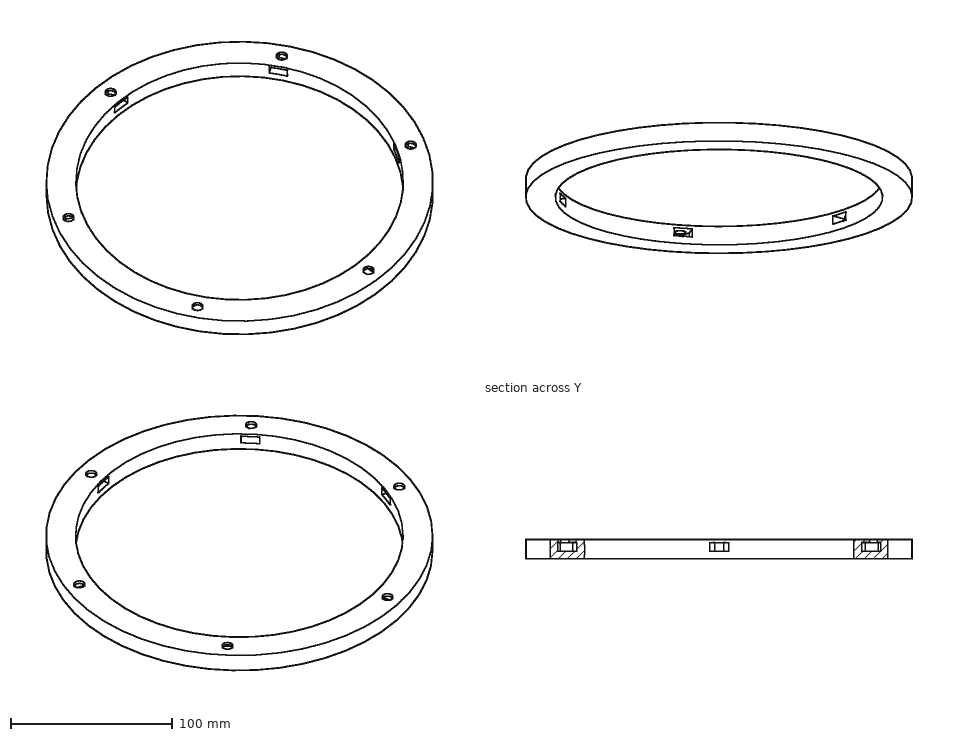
import cadquery as cq
import math

OUTER_DIAMETER = 240.0
INNER_DIAMETER = 203.2
THICKNESS = 12.0

HOLE_COUNT = 6
HOLE_DIAMETER = 6.72
FIRST_HOLE_ANGLE = 30.0
BOLT_CIRCLE_RADIUS = 110.65

NUT_ACROSS_FLATS = 10.05
NUT_ACROSS_CORNERS = NUT_ACROSS_FLATS / math.cos(math.radians(30))
SLOT_FLOOR = 4.8
SLOT_HEIGHT = 5.2
SLOT_START_RADIUS = INNER_DIAMETER / 2 - NUT_ACROSS_FLATS / 2


def make_ring():
    """Flat ring resting on Z = 0."""
    return (
        cq.Workplane("XY")
        .circle(OUTER_DIAMETER / 2)
        .circle(INNER_DIAMETER / 2)
        .extrude(THICKNESS)
    )


def make_nut_slot():
    """Slot along +X, as wide as the nut corners; its end wraps the outer half of the hexagon nut."""
    half_width = NUT_ACROSS_CORNERS / 2
    half_flat = NUT_ACROSS_CORNERS / 4
    end_radius = BOLT_CIRCLE_RADIUS + NUT_ACROSS_FLATS / 2
    outline = [
        (SLOT_START_RADIUS, -half_width),
        (BOLT_CIRCLE_RADIUS, -half_width),
        (end_radius, -half_flat),
        (end_radius, half_flat),
        (BOLT_CIRCLE_RADIUS, half_width),
        (SLOT_START_RADIUS, half_width),
    ]
    return (
        cq.Workplane("XY")
        .workplane(offset=SLOT_FLOOR)
        .polyline(outline)
        .close()
        .extrude(SLOT_HEIGHT)
    )


def make_bolt_hole():
    """Vertical hole on the +X axis, from the top face down to the slot floor."""
    return (
        cq.Workplane("XY", origin=(BOLT_CIRCLE_RADIUS, 0, SLOT_FLOOR))
        .circle(HOLE_DIAMETER / 2)
        .extrude(THICKNESS - SLOT_FLOOR)
    )


nut_pocket = make_nut_slot().union(make_bolt_hole())

result = make_ring()
for index in range(HOLE_COUNT):
    angle = FIRST_HOLE_ANGLE + index * 360.0 / HOLE_COUNT
    result = result.cut(nut_pocket.rotate((0, 0, 0), (0, 0, 1), angle))